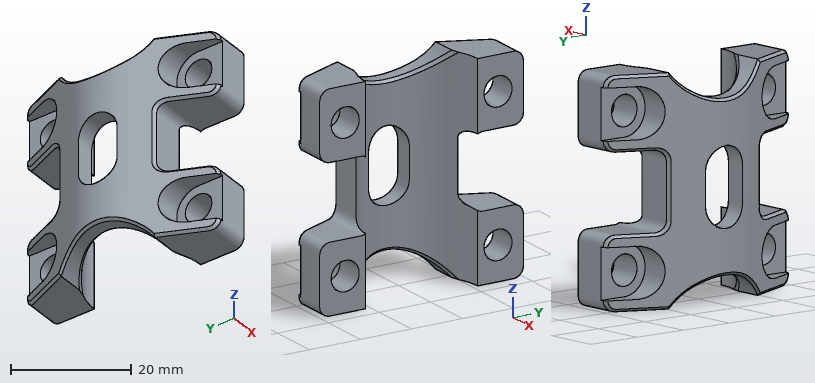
import cadquery as cq
import math

width = 40.0
height = 40.0
bore_radius = 11.0
wall = 3.5
edge_thickness = 7.0

scoop_depth = 5.0
scoop_half_width = 9.66
notch_floor = 10.0
notch_height = 14.0
corner_radius = 2.0
edge_chamfer = 0.5

slot_width = 8.0
slot_length = 14.0

screw_y = 15.0
screw_z = 13.5
screw_hole_diameter = 5.5
counterbore_diameter = 9.0
seat_thickness = 6.0

outer_radius = bore_radius + wall
half_width = width / 2
half_height = height / 2
scoop_radius = (scoop_half_width**2 + scoop_depth**2) / (2 * scoop_depth)
notch_depth = half_width - notch_floor
SIDES = (-1, 1)
TOLERANCE = 0.01

edge_distance = math.hypot(edge_thickness, half_width)
tangent_angle = math.atan2(half_width, edge_thickness) - math.acos(outer_radius / edge_distance)
tangent_x = -outer_radius * math.cos(tangent_angle)
tangent_y = outer_radius * math.sin(tangent_angle)


def arched_body():
    """Arched back with flanks tangent to it, extruded along Z, with the tube bore."""
    return (
        cq.Workplane("XY")
        .workplane(offset=-half_height)
        .moveTo(0, bore_radius)
        .lineTo(0, half_width)
        .lineTo(-edge_thickness, half_width)
        .lineTo(tangent_x, tangent_y)
        .threePointArc((-outer_radius, 0), (tangent_x, -tangent_y))
        .lineTo(-edge_thickness, -half_width)
        .lineTo(0, -half_width)
        .lineTo(0, -bore_radius)
        .threePointArc((-bore_radius, 0), (0, bore_radius))
        .close()
        .extrude(height)
    )


def back_plane():
    """YZ sketch plane touching the crown of the back; extrusions go into the part."""
    return cq.Workplane("YZ").workplane(offset=-outer_radius)


def h_shaped_blank():
    """YZ outline with side notches, rounded corners and scooped ends, extruded along X."""
    blank = back_plane().rect(width, height).extrude(outer_radius)
    for side in SIDES:
        notch_y = side * (half_width - notch_depth / 2)
        notch = back_plane().center(notch_y, 0).rect(notch_depth, notch_height).extrude(outer_radius)
        blank = blank.cut(notch)
    blank = blank.edges("|X").fillet(corner_radius)
    for side in SIDES:
        scoop_z = side * (half_height - scoop_depth + scoop_radius)
        scoop = back_plane().center(0, scoop_z).circle(scoop_radius).extrude(outer_radius)
        blank = blank.cut(scoop)
    return blank


def is_tangent_seam(edge):
    """True for the straight edges where the flanks run smoothly into the outer arc."""
    return edge.geomType() == "LINE" and abs(abs(edge.Center().y) - tangent_y) < TOLERANCE


def chamfer_back_rim(body):
    """Break the whole rim of the outer arc and both flanks."""
    back_faces = body.faces(
        cq.selectors.BoxSelector(
            (-outer_radius, -half_width, -TOLERANCE),
            (tangent_x + wall, half_width, TOLERANCE),
        )
    )
    rim = [edge for edge in back_faces.edges().vals() if not is_tangent_seam(edge)]
    return body.newObject(rim).chamfer(edge_chamfer)


def chamfer_bore_ends(body):
    """Break the two curved edges where the end scoops cut into the tube bore."""

    def is_bore_end(edge):
        box = edge.BoundingBox()
        on_crown = abs(box.xmin + bore_radius) < TOLERANCE
        return on_crown and abs(edge.Center().y) < TOLERANCE and edge.geomType() != "LINE"

    bore_ends = [edge for edge in body.edges().vals() if is_bore_end(edge)]
    return body.newObject(bore_ends).chamfer(edge_chamfer)


def slot_cutter():
    """Through slot in the middle of the back, long along Z."""
    return back_plane().slot2D(slot_length, slot_width, angle=90).extrude(outer_radius)


def screw_cutter(y_side, z_side):
    """Screw hole with a counterbore that runs out through the side of the part."""
    y = y_side * screw_y
    z = z_side * screw_z
    counterbore_depth = outer_radius - seat_thickness
    runout_y = y + y_side * half_width / 2
    hole = back_plane().center(y, z).circle(screw_hole_diameter / 2).extrude(outer_radius)
    counterbore = back_plane().center(y, z).circle(counterbore_diameter / 2).extrude(counterbore_depth)
    runout = (
        back_plane()
        .center(runout_y, z)
        .rect(half_width, counterbore_diameter)
        .extrude(counterbore_depth)
    )
    return hole.union(counterbore).union(runout)


result = arched_body().intersect(h_shaped_blank())
result = chamfer_back_rim(result)
result = chamfer_bore_ends(result)
result = result.cut(slot_cutter())
for y_side in SIDES:
    for z_side in SIDES:
        result = result.cut(screw_cutter(y_side, z_side))